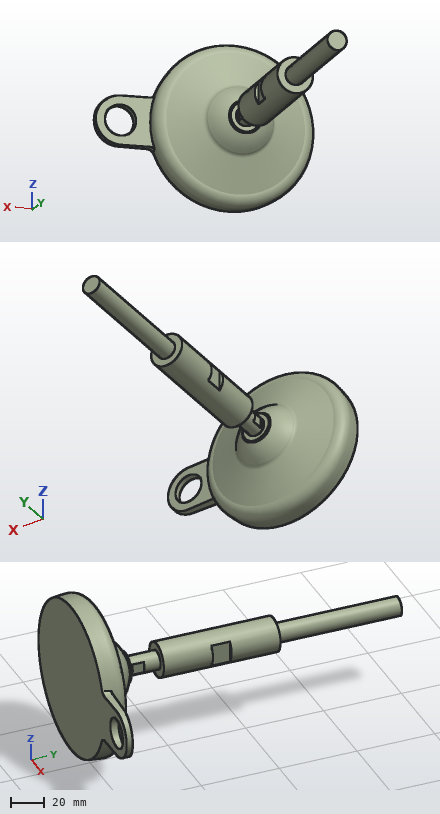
import cadquery as cq
import math

overall_length = 210.0

foot_bottom_radius = 49.1
edge_radius = 49.8
edge_height = 5.7
rim_radius = 50.0
rim_height = 8.8
shoulder_radius = 43.0
shoulder_height = 16.2
cone_top_radius = 22.5
cone_top_height = 23.5
dome_edge_radius = 20.4
dome_edge_height = 25.5
dome_center_height = 9.7
lip_base_radius = 9.5
lip_radius = 10.0
lip_height = 34.2
foot_top_radius = 9.2
foot_top = 34.9

lug_reach = 83.0
lug_radius = 15.1
lug_hole_diameter = 19.0
lug_tip_thickness = 4.0
lug_fillet = 4.6

stud_diameter = 12.0
stud_flats_width = 9.7
stud_flats_start = 37.0
stud_flats_end = 44.5

sleeve_diameter = 22.0
sleeve_start = 54.8
sleeve_length = 75.0
sleeve_flats_width = 17.2
sleeve_flats_length = 12.0


def cylinder(diameter, start, end):
    """Cylinder along the stud axis from one height to another."""
    plane = cq.Workplane("XZ", origin=(0, start, 0))
    return plane.circle(diameter / 2).extrude(start - end)


def cut_flats(body, diameter, flats_width, start, end):
    """Cut a pair of parallel flats facing -X and +X."""
    depth = (diameter - flats_width) / 2
    for side in (-1, 1):
        cutter = cq.Workplane("XY").box(2 * depth, end - start, diameter)
        middle = side * (flats_width / 2 + depth)
        body = body.cut(cutter.translate((middle, (start + end) / 2, 0)))
    return body


def make_foot_disc():
    """Revolved foot: tapered edge, rounded shoulder, cone, concave blend, spherical dome and small lip."""
    dome_radius = math.hypot(dome_edge_radius, dome_edge_height - dome_center_height)
    lip_base_height = dome_center_height + math.sqrt(dome_radius**2 - lip_base_radius**2)
    dome_mid_radius = (lip_base_radius + dome_edge_radius) / 2
    dome_mid_height = dome_center_height + math.sqrt(dome_radius**2 - dome_mid_radius**2)
    profile = (
        cq.Workplane("XY")
        .lineTo(foot_bottom_radius, 0)
        .lineTo(edge_radius, edge_height)
        .lineTo(rim_radius, rim_height)
        .tangentArcPoint((shoulder_radius, shoulder_height), relative=False)
        .lineTo(cone_top_radius, cone_top_height)
        .tangentArcPoint((dome_edge_radius, dome_edge_height), relative=False)
        .threePointArc((dome_mid_radius, dome_mid_height), (lip_base_radius, lip_base_height))
        .lineTo(lip_radius, lip_height)
        .lineTo(foot_top_radius, foot_top)
        .lineTo(0, foot_top)
        .close()
    )
    return profile.revolve(360, (0, 0), (0, 1))


def make_lug():
    """Round-ended lug with a sloping top and concave fillets into the foot's edge."""
    center_x = lug_reach - lug_radius
    fillet_z = lug_radius + lug_fillet
    fillet_x = math.sqrt((foot_bottom_radius + lug_fillet) ** 2 - fillet_z**2)
    angle = math.atan2(fillet_z, fillet_x)
    touch_x = foot_bottom_radius * math.cos(angle)
    touch_z = foot_bottom_radius * math.sin(angle)
    mid_angle = (angle + math.pi / 2) / 2
    mid_x = fillet_x - lug_fillet * math.cos(mid_angle)
    mid_z = fillet_z - lug_fillet * math.sin(mid_angle)
    outline = (
        cq.Workplane("XZ")
        .lineTo(touch_x, touch_z)
        .threePointArc((mid_x, mid_z), (fillet_x, lug_radius))
        .lineTo(center_x, lug_radius)
        .threePointArc((lug_reach, 0), (center_x, -lug_radius))
        .lineTo(fillet_x, -lug_radius)
        .threePointArc((mid_x, -mid_z), (touch_x, -touch_z))
        .close()
        .extrude(-edge_height)
    )
    side_shape = (
        cq.Workplane("XY")
        .polyline([
            (0, 0),
            (lug_reach, 0),
            (lug_reach, lug_tip_thickness),
            (edge_radius, edge_height),
            (0, edge_height),
        ])
        .close()
        .extrude(rim_radius, both=True)
    )
    hole = cylinder(lug_hole_diameter, 0, edge_height).translate((center_x, 0, 0))
    return outline.intersect(side_shape).cut(hole)


def make_foot():
    return make_foot_disc().union(make_lug())


def make_stud():
    """Stud standing on the foot and running through the sleeve."""
    stud = cylinder(stud_diameter, foot_top, overall_length)
    return cut_flats(stud, stud_diameter, stud_flats_width, stud_flats_start, stud_flats_end)


def make_sleeve():
    end = sleeve_start + sleeve_length
    sleeve = cylinder(sleeve_diameter, sleeve_start, end)
    sleeve = sleeve.cut(cylinder(stud_diameter, sleeve_start, end))
    flats_start = sleeve_start + (sleeve_length - sleeve_flats_length) / 2
    flats_end = flats_start + sleeve_flats_length
    return cut_flats(sleeve, sleeve_diameter, sleeve_flats_width, flats_start, flats_end)


foot = make_foot()
stud = make_stud()
sleeve = make_sleeve()

result = cq.Compound.makeCompound([foot.val(), stud.val(), sleeve.val()])